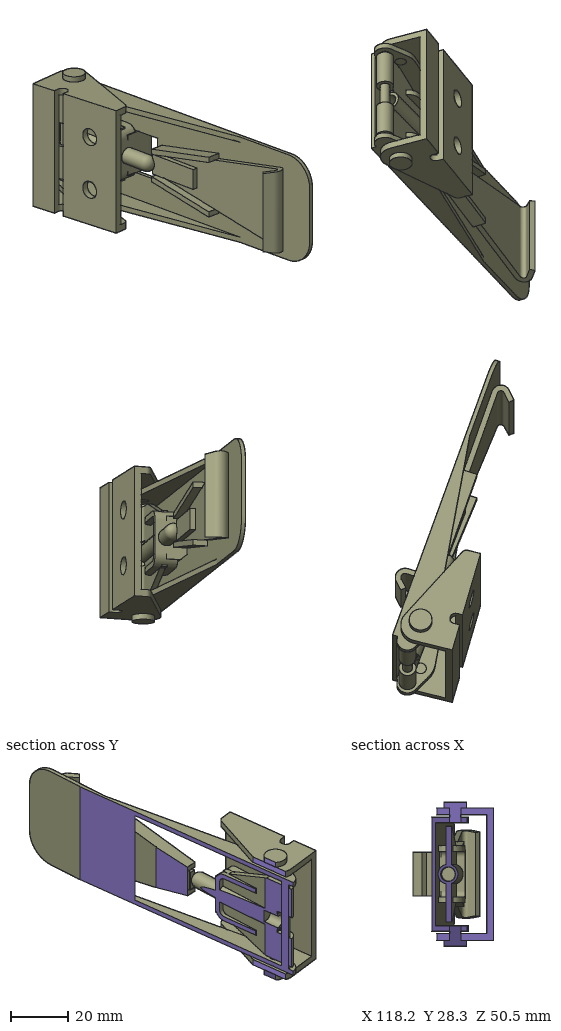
import cadquery as cq
import math


BRACKET_WIDTH = 46.5
BRACKET_WALL = 2.5
BRACKET_LEFT = -7.5
BRACKET_RIGHT = 30.65
BRACKET_BASE_Y = -13.5
NOSE_RADIUS = 6.2
NOSE_Y = 0.4
NOSE_X = BRACKET_LEFT + NOSE_RADIUS
CHEEK_SLOPE = 25.0
CHEEK_CORNER_RADIUS = 2.0
SLOT_X = 4.4
SLOT_WIDTH = 4.0
SLOT_DEPTH = 4.0
SCREW_HOLE_DIAMETER = 6.3
SCREW_HOLE_X = 18.5
SCREW_HOLE_SPACING = 20.0

RIVET_HEAD_DIAMETER = 8.0
RIVET_HEAD_HEIGHT = 2.0
RIVET_SHANK_DIAMETER = 4.0

LEVER_TILT = 3.5
LEVER_WIDTH = 40.0
LEVER_EAR_THICKNESS = 2.0
LEVER_LEFT = -6.5
LEVER_RIGHT = 107.6
LEVER_TOP = 8.2
LEVER_SHEET = 1.5
LEVER_INNER = LEVER_TOP - LEVER_SHEET
LEVER_CORNER_RADIUS = 10.0
EAR_NOSE_RADIUS = 3.75
EAR_LOW_U = 0.3
EAR_LOW_V = -4.8
EAR_LOW_RADIUS = 9.0
EAR_END = 73.9
WINDOW_LEFT = 20.0
WINDOW_RIGHT = 33.9
WINDOW_WIDTH = 16.0

PIN_X = -6.6
PIN_Y = 3.0
PIN_DIAMETER = 3.5

HOOK_TILT = 4.5
SHEET = 2.0
BEND_ANGLE = 135.0
KNUCKLE_DIAMETER = 6.0
KNUCKLE_INNER_Z = 4.4
KNUCKLE_OUTER_Z = 16.8
YOKE_UNDERSIDE = -1.25
YOKE_BLEND_RADIUS = 3.0
YOKE_TAPER_START = 8.0
YOKE_TAPER_END = 26.0
YOKE_NOTCH_END = 3.5
STRAP_WIDTH = 20.0
STRAP_HALF_HEIGHT = 4.2
STRAP_LEFT = 12.7
STRAP_TIP_FLAT = 0.1
STRAP_RIGHT = 30.8
STRAP_BEND_RADIUS = 2.0
CATCH_WIDTH = 15.4
CATCH_TOP = 14.02
CATCH_LIP = 3.7
CATCH_BEND_RADIUS = 1.5
SLEEVE_DIAMETER = 7.1
SLEEVE_START = 3.2
BORE_DIAMETER = 4.92
BORE_DEPTH = 6.0
ROD_DIAMETER = 6.0
ROD_TIP = 43.4
CLAW_START = 43.1
CLAW_TOP = 4.55
CLAW_DEPTH = 12.0
CLAW_BEND_U = 101.4
CLAW_LIP = 3.9
CLAW_BEND_RADIUS = 1.25
CLAW_START_HALF_WIDTH = 4.2
CLAW_END_HALF_WIDTH = 15.5
RIB_END = 71.2
RIB_HEIGHT = 5.1
PAD_START = 42.4
PAD_LENGTH = 20.0
PAD_WIDTH = 7.5
PAD_THICKNESS = 2.0


def block(x_min, x_max, y_min, y_max, z_min, z_max):
    box = cq.Workplane("XY").box(x_max - x_min, y_max - y_min, z_max - z_min, centered=False)
    return box.translate((x_min, y_min, z_min))


def cylinder_z(x, y, diameter, z_min, z_max):
    return cq.Workplane("XY", origin=(x, y, z_min)).circle(diameter / 2).extrude(z_max - z_min)


def cylinder_x(x_min, x_max, diameter):
    return cq.Workplane("YZ", origin=(x_min, 0, 0)).circle(diameter / 2).extrude(x_max - x_min)


def turn_z(body, angle):
    return body.rotate((0, 0, 0), (0, 0, 1), angle)


def make_bracket():
    slope = math.radians(CHEEK_SLOPE)
    tangent_x = NOSE_X + NOSE_RADIUS * math.sin(slope)
    tangent_y = NOSE_Y + NOSE_RADIUS * math.cos(slope)
    corner_y = tangent_y - (BRACKET_RIGHT - tangent_x) * math.tan(slope)
    mid_angle = math.radians((180 + 90 - CHEEK_SLOPE) / 2)
    half = BRACKET_WIDTH / 2

    bracket = (
        cq.Workplane("XY", origin=(0, 0, -half))
        .moveTo(BRACKET_LEFT, BRACKET_BASE_Y)
        .lineTo(BRACKET_LEFT, NOSE_Y)
        .threePointArc(
            (NOSE_X + NOSE_RADIUS * math.cos(mid_angle), NOSE_Y + NOSE_RADIUS * math.sin(mid_angle)),
            (tangent_x, tangent_y),
        )
        .lineTo(BRACKET_RIGHT, corner_y)
        .lineTo(BRACKET_RIGHT, BRACKET_BASE_Y)
        .close()
        .extrude(BRACKET_WIDTH)
    )
    corner = cq.selectors.NearestToPointSelector((BRACKET_RIGHT, corner_y, 0))
    bracket = bracket.edges("|Z").edges(corner).fillet(CHEEK_CORNER_RADIUS)

    channel_half = half - BRACKET_WALL
    bracket = bracket.cut(
        block(BRACKET_LEFT, BRACKET_RIGHT, BRACKET_BASE_Y + BRACKET_WALL, NOSE_Y + NOSE_RADIUS,
              -channel_half, channel_half)
    )

    slot_round_y = BRACKET_BASE_Y + SLOT_DEPTH - SLOT_WIDTH / 2
    slot = block(SLOT_X - SLOT_WIDTH / 2, SLOT_X + SLOT_WIDTH / 2, BRACKET_BASE_Y, slot_round_y, -half, half)
    slot = slot.union(cylinder_z(SLOT_X, slot_round_y, SLOT_WIDTH, -half, half))
    bracket = bracket.cut(slot)

    screw_holes = (
        cq.Workplane("XZ", origin=(0, BRACKET_BASE_Y, 0))
        .pushPoints([(SCREW_HOLE_X, side * SCREW_HOLE_SPACING / 2) for side in (-1, 1)])
        .circle(SCREW_HOLE_DIAMETER / 2)
        .extrude(-BRACKET_WALL)
    )
    bracket = bracket.cut(screw_holes)
    return bracket.cut(cylinder_z(0, 0, RIVET_SHANK_DIAMETER, -half, half))


def make_rivet(side):
    shank_end = LEVER_WIDTH / 2 - LEVER_EAR_THICKNESS
    head_seat = BRACKET_WIDTH / 2
    rivet = cylinder_z(0, 0, RIVET_SHANK_DIAMETER, shank_end, head_seat)
    rivet = rivet.union(cylinder_z(0, 0, RIVET_HEAD_DIAMETER, head_seat, head_seat + RIVET_HEAD_HEIGHT))
    if side < 0:
        rivet = rivet.mirror("XY")
    return rivet


def make_lever():
    half = LEVER_WIDTH / 2
    tilt = math.radians(LEVER_TILT)
    pin_u = PIN_X * math.cos(tilt) - PIN_Y * math.sin(tilt)
    pin_v = PIN_X * math.sin(tilt) + PIN_Y * math.cos(tilt)

    plate = block(LEVER_LEFT, LEVER_RIGHT, LEVER_INNER, LEVER_TOP, -half, half)
    plate = plate.edges("|Y and >X").fillet(LEVER_CORNER_RADIUS)
    plate = plate.cut(
        block(WINDOW_LEFT, WINDOW_RIGHT, LEVER_INNER, LEVER_TOP, -WINDOW_WIDTH / 2, WINDOW_WIDTH / 2)
    )

    reach = math.hypot(EAR_LOW_U - pin_u, EAR_LOW_V - pin_v)
    direction = math.atan2(EAR_LOW_V - pin_v, EAR_LOW_U - pin_u)
    tangent = direction - math.acos(EAR_NOSE_RADIUS / reach)
    nose_top = (pin_u, pin_v + EAR_NOSE_RADIUS)
    nose_left = (pin_u - EAR_NOSE_RADIUS, pin_v)
    nose_end = (pin_u + EAR_NOSE_RADIUS * math.cos(tangent), pin_v + EAR_NOSE_RADIUS * math.sin(tangent))

    ears = (
        cq.Workplane("XY", origin=(0, 0, -half))
        .moveTo(LEVER_LEFT, LEVER_INNER)
        .lineTo(LEVER_LEFT, nose_top[1])
        .lineTo(*nose_top)
        .threePointArc(nose_left, nose_end)
        .lineTo(EAR_LOW_U, EAR_LOW_V)
        .lineTo(EAR_END, LEVER_INNER)
        .close()
        .extrude(LEVER_WIDTH)
    )
    low_corner = cq.selectors.NearestToPointSelector((EAR_LOW_U, EAR_LOW_V, 0))
    ears = ears.edges("|Z").edges(low_corner).fillet(EAR_LOW_RADIUS)
    inner_half = half - LEVER_EAR_THICKNESS
    ears = ears.cut(
        block(pin_u - EAR_NOSE_RADIUS, EAR_END, EAR_LOW_V, LEVER_INNER, -inner_half, inner_half)
    )

    lever = plate.union(ears)
    lever = lever.cut(cylinder_z(0, 0, RIVET_SHANK_DIAMETER, -half, half))
    lever = lever.union(cylinder_z(pin_u, pin_v, PIN_DIAMETER, -inner_half, inner_half))
    return turn_z(lever, -LEVER_TILT)


def curled_sheet(start, bend_centre, inner, lip_length, width):
    """Sheet running along +X above the bend centre, curling down and back into a straight lip.

    inner is the inside radius of the bend.
    """
    turn = math.radians(BEND_ANGLE)
    u, v = bend_centre
    outer = inner + SHEET

    def on_arc(radius, angle):
        return (u + radius * math.sin(angle), v + radius * math.cos(angle))

    def lip_end(radius):
        x, y = on_arc(radius, turn)
        return (x + lip_length * math.cos(turn), y - lip_length * math.sin(turn))

    return (
        cq.Workplane("XY", origin=(0, 0, -width / 2))
        .moveTo(start, v + outer)
        .lineTo(u, v + outer)
        .threePointArc(on_arc(outer, turn / 2), on_arc(outer, turn))
        .lineTo(*lip_end(outer))
        .lineTo(*lip_end(inner))
        .lineTo(*on_arc(inner, turn))
        .threePointArc(on_arc(inner, turn / 2), on_arc(inner, 0))
        .lineTo(start, v + inner)
        .close()
        .extrude(width)
    )


def make_yoke():
    """Sheet running from the knuckles to the strap wall, tapering down to the strap width."""
    bottom = YOKE_UNDERSIDE
    top = bottom + SHEET
    strap_half = STRAP_WIDTH / 2
    yoke = (
        cq.Workplane("XZ", origin=(0, top, 0))
        .polyline([
            (0, -KNUCKLE_OUTER_Z),
            (YOKE_TAPER_START, -KNUCKLE_OUTER_Z),
            (YOKE_TAPER_END, -strap_half),
            (STRAP_RIGHT - SHEET, -strap_half),
            (STRAP_RIGHT - SHEET, strap_half),
            (YOKE_TAPER_END, strap_half),
            (YOKE_TAPER_START, KNUCKLE_OUTER_Z),
            (0, KNUCKLE_OUTER_Z),
        ])
        .close()
        .extrude(top - bottom)
    )
    return yoke.cut(block(0, YOKE_NOTCH_END, bottom, top, -KNUCKLE_INNER_Z, KNUCKLE_INNER_Z))


def make_knuckle(z_min, z_max):
    """Round knuckle on the cross pin, blended into the underside of the yoke sheet."""
    radius = KNUCKLE_DIAMETER / 2
    blend_v = YOKE_UNDERSIDE - YOKE_BLEND_RADIUS
    blend_u = math.sqrt((radius + YOKE_BLEND_RADIUS) ** 2 - blend_v ** 2)
    tangent_v = blend_v * radius / (radius + YOKE_BLEND_RADIUS)
    neck = block(0, blend_u, tangent_v, YOKE_UNDERSIDE, z_min, z_max)
    neck = neck.cut(cylinder_z(blend_u, blend_v, 2 * YOKE_BLEND_RADIUS, z_min, z_max))
    return neck.union(cylinder_z(0, 0, KNUCKLE_DIAMETER, z_min, z_max))


def make_strap():
    """U-bent strap: two round-ended arms joined by a cross wall."""
    outer_half = STRAP_WIDTH / 2
    inner_half = outer_half - SHEET
    strap = block(STRAP_LEFT, STRAP_RIGHT, -STRAP_HALF_HEIGHT, STRAP_HALF_HEIGHT, -outer_half, outer_half)
    strap = strap.edges("|Y and >X").fillet(STRAP_BEND_RADIUS + SHEET)
    strap = strap.edges("|Z and <X").fillet(STRAP_HALF_HEIGHT - STRAP_TIP_FLAT / 2)
    inside = block(0, STRAP_RIGHT - SHEET, -STRAP_HALF_HEIGHT, STRAP_HALF_HEIGHT, -inner_half, inner_half)
    return strap.cut(inside.edges("|Y and >X").fillet(STRAP_BEND_RADIUS))


def make_catch():
    """Tab rising from the strap wall, with a lip curled back towards -X."""
    bend_u = STRAP_RIGHT - CATCH_BEND_RADIUS - SHEET
    bend_v = CATCH_TOP - CATCH_BEND_RADIUS - SHEET
    catch = curled_sheet(0, (bend_v, bend_u), CATCH_BEND_RADIUS, CATCH_LIP, CATCH_WIDTH)
    return turn_z(catch.mirror("XZ"), 90)


def make_rod():
    ball_u = ROD_TIP - ROD_DIAMETER / 2
    rod = cylinder_x(SLEEVE_START, STRAP_RIGHT, SLEEVE_DIAMETER)
    rod = rod.union(cylinder_x(STRAP_RIGHT, ball_u, ROD_DIAMETER))
    return rod.union(cq.Workplane("XY").sphere(ROD_DIAMETER / 2).translate((ball_u, 0, 0)))


def make_claw():
    bend_v = CLAW_TOP - CLAW_BEND_RADIUS - SHEET
    claw_end = CLAW_BEND_U + CLAW_BEND_RADIUS + SHEET
    taper = (CLAW_END_HALF_WIDTH - CLAW_START_HALF_WIDTH) / (claw_end - CLAW_START)

    def edge_z(u):
        return CLAW_START_HALF_WIDTH + taper * (u - CLAW_START)

    sheet = curled_sheet(
        CLAW_START, (CLAW_BEND_U, bend_v), CLAW_BEND_RADIUS, CLAW_LIP, 2 * CLAW_END_HALF_WIDTH
    )
    outline = (
        cq.Workplane("XZ", origin=(0, CLAW_TOP, 0))
        .polyline([
            (CLAW_START, -edge_z(CLAW_START)),
            (claw_end, -edge_z(claw_end)),
            (claw_end, edge_z(claw_end)),
            (CLAW_START, edge_z(CLAW_START)),
        ])
        .close()
        .extrude(CLAW_DEPTH)
    )
    claw = sheet.intersect(outline)

    for side in (-1, 1):
        rib = (
            cq.Workplane("XZ", origin=(0, CLAW_TOP, 0))
            .polyline([
                (CLAW_START, side * edge_z(CLAW_START)),
                (RIB_END, side * edge_z(RIB_END)),
                (RIB_END, side * (edge_z(RIB_END) + SHEET)),
                (CLAW_START, side * (edge_z(CLAW_START) + SHEET)),
            ])
            .close()
            .extrude(RIB_HEIGHT)
        )
        claw = claw.union(rib)

    pad_top = CLAW_TOP - SHEET
    pad = block(PAD_START, PAD_START + PAD_LENGTH, pad_top - PAD_THICKNESS, pad_top,
                -PAD_WIDTH / 2, PAD_WIDTH / 2)
    return claw.union(pad)


def make_draw_hook():
    hook = make_yoke()
    for z_min in (-KNUCKLE_OUTER_Z, KNUCKLE_INNER_Z):
        hook = hook.union(make_knuckle(z_min, z_min + KNUCKLE_OUTER_Z - KNUCKLE_INNER_Z))
    for piece in (make_strap(), make_catch(), make_rod(), make_claw()):
        hook = hook.union(piece)
    hook = hook.cut(cylinder_x(SLEEVE_START, SLEEVE_START + BORE_DEPTH, BORE_DIAMETER))
    hook = hook.cut(cylinder_z(0, 0, PIN_DIAMETER, -KNUCKLE_OUTER_Z, KNUCKLE_OUTER_Z))
    return turn_z(hook, -HOOK_TILT).translate((PIN_X, PIN_Y, 0))


bracket = make_bracket()
lever = make_lever()
rivets = [make_rivet(side) for side in (-1, 1)]
draw_hook = make_draw_hook()

result = cq.Compound.makeCompound(
    [bracket.val(), lever.val(), *[rivet.val() for rivet in rivets], draw_hook.val()]
)